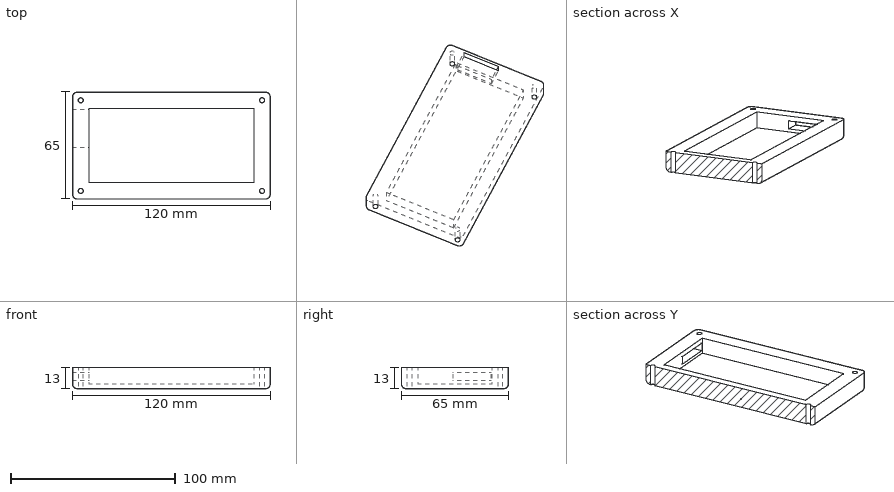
import cadquery as cq

LENGTH = 120.0
WIDTH = 65.0
HEIGHT = 13.0
EDGE_RADIUS = 3.0

RIM = 10.0
FLOOR = 3.0

HOLE_DIAMETER = 2.9
HOLE_INSET = 5.0

WINDOW_WIDTH = 23.0
WINDOW_HEIGHT = 5.0
WINDOW_CENTER_Y = 10.4
WINDOW_BOTTOM = 4.9


def make_body():
    """Block with rounded upright corners and a rounded bottom edge."""
    block = cq.Workplane("XY").box(LENGTH, WIDTH, HEIGHT, centered=(True, True, False))
    return block.edges("|Z or <Z").fillet(EDGE_RADIUS)


def make_pocket():
    """Material removed inside the rim, above the floor."""
    pocket = cq.Workplane("XY").workplane(offset=FLOOR)
    return pocket.rect(LENGTH - 2 * RIM, WIDTH - 2 * RIM).extrude(HEIGHT - FLOOR)


def make_screw_holes():
    """Four through holes, one near each corner."""
    spacing_x = LENGTH - 2 * HOLE_INSET
    spacing_y = WIDTH - 2 * HOLE_INSET
    corners = cq.Workplane("XY").rect(spacing_x, spacing_y, forConstruction=True).vertices()
    return corners.circle(HOLE_DIAMETER / 2).extrude(HEIGHT)


def make_window():
    """Rectangular opening from the -X face to the pocket."""
    window = cq.Workplane("XY").box(RIM, WINDOW_WIDTH, WINDOW_HEIGHT, centered=(False, True, False))
    return window.translate((-LENGTH / 2, WINDOW_CENTER_Y, WINDOW_BOTTOM))


result = make_body().cut(make_pocket()).cut(make_screw_holes()).cut(make_window())